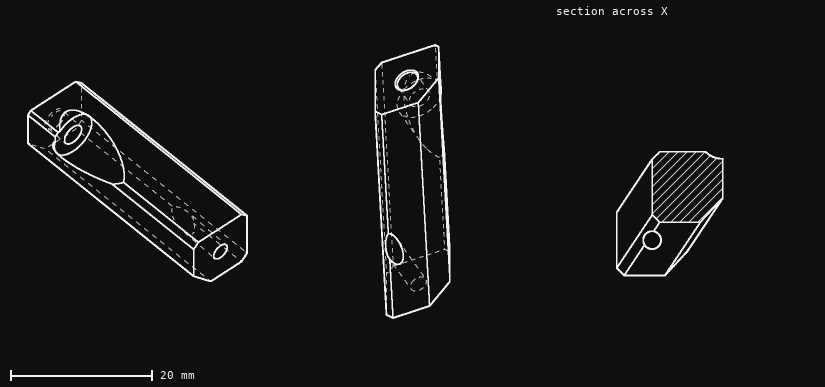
import cadquery as cq

length = 24.25
side = 10.0
rise_y = 10.0
drop_z = 15.0

back_bevel = 1.05
lower_front_bevel = 3.2
lower_front_bevel_height = 3.42
upper_front_bevel = 0.88
upper_front_bevel_at_boss = 0.55

boss_diameter = 7.0
boss_end = 4.0

entry_hole_diameter = 3.2
entry_countersink = 0.22
exit_hole_diameter = 2.5

entry_y = side / 2
entry_z = drop_z + side / 2
exit_y = entry_y + rise_y
exit_z = entry_z - drop_z


def bar_piece(start, end, front_bevel):
    """Slanted bar between two X stations, with the given bevel on its upper -Y edge."""
    y0 = rise_y * start / length
    z0 = drop_z * (1 - start / length)
    y1 = y0 + side
    z1 = z0 + side
    outline = [
        (y0 + lower_front_bevel, z0),
        (y1 - back_bevel, z0),
        (y1, z0 + back_bevel),
        (y1, z1 - back_bevel),
        (y1 - back_bevel, z1),
        (y0 + front_bevel, z1),
        (y0, z1 - front_bevel),
        (y0, z0 + lower_front_bevel_height),
    ]
    share = (end - start) / length
    path = cq.Workplane("XY").polyline([
        (start, y0, z0),
        (end, y0 + rise_y * share, z0 - drop_z * share),
    ])
    section = cq.Workplane("YZ", origin=(start, 0, 0)).polyline(outline).close()
    return section.sweep(path, transition="right")


def x_cylinder(y, z, diameter, start, end):
    """Cylinder parallel to X between two X stations."""
    plane = cq.Workplane("YZ", origin=(start, y, z))
    return plane.circle(diameter / 2).extrude(end - start)


bar = bar_piece(0, boss_end, upper_front_bevel_at_boss)
bar = bar.union(bar_piece(boss_end, length, upper_front_bevel))

boss = x_cylinder(entry_y, entry_z, boss_diameter, 0, boss_end)
clearance = x_cylinder(entry_y, entry_z, boss_diameter, boss_end, length)
bar = bar.union(boss).cut(clearance)

corner_relief = cq.Workplane("XY").box(
    length - boss_end, boss_diameter / 2, boss_diameter / 2, centered=False
).translate((boss_end, entry_y - boss_diameter / 2, entry_z))
bar = bar.cut(corner_relief)

entry_hole = x_cylinder(entry_y, entry_z, entry_hole_diameter, 0, boss_end)
countersink_cone = cq.Workplane(cq.Solid.makeCone(
    entry_hole_diameter / 2 + entry_countersink,
    entry_hole_diameter / 2,
    entry_countersink,
    cq.Vector(0, entry_y, entry_z),
    cq.Vector(1, 0, 0),
))
bar = bar.cut(entry_hole).cut(countersink_cone)

exit_hole = x_cylinder(exit_y, exit_z, exit_hole_diameter, 0, length)

result = bar.cut(exit_hole)